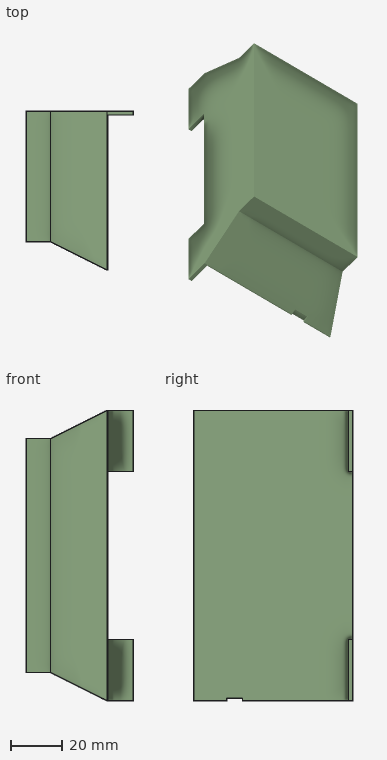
import cadquery as cq

total_depth = 42.0
width = 62.2
height = 113.6

front_depth = 9.6
flare_depth = 22.0
rim_depth = 0.4
flare_inset = 11.0
body_depth = front_depth + flare_depth + rim_depth

tab_length = total_depth - body_depth
tab_thickness = 1.6
tab_height = 24.0

notch_width = 6.0
notch_height = 1.0
notch_offset = 13.0

rim_edge_y = -width
half_height = height / 2


def section(x, inset):
    """Rectangle across X, inset from the rim on every side but the flat +Y one."""
    section_width = width - inset
    section_height = height - 2 * inset
    return (
        cq.Workplane("YZ", origin=(x, -section_width / 2, 0))
        .rect(section_width, section_height)
    )


def make_body():
    """Front block, flare and rim joined into one solid."""
    front = section(0, flare_inset).extrude(front_depth)
    flare = cq.Workplane(
        cq.Solid.makeLoft(
            [
                section(front_depth, flare_inset).wires().val(),
                section(front_depth + flare_depth, 0).wires().val(),
            ],
            True,
        )
    )
    rim = section(front_depth + flare_depth, 0).extrude(rim_depth)
    return front.union(flare).union(rim)


def make_tab(bottom_z):
    """Flat tab reaching back from the rim, with its lower end at bottom_z."""
    return (
        cq.Workplane("XY")
        .box(tab_length + rim_depth, tab_thickness, tab_height, centered=False)
        .translate((body_depth - rim_depth, -tab_thickness, bottom_z))
    )


def make_notch():
    """Cutter running along X through the lower edge of the flare and rim."""
    return (
        cq.Workplane("XY")
        .box(body_depth, notch_width, notch_height, centered=False)
        .translate((0, rim_edge_y + notch_offset, -half_height))
    )


result = make_body()
for tab_bottom in (-half_height, half_height - tab_height):
    result = result.union(make_tab(tab_bottom))
result = result.cut(make_notch())